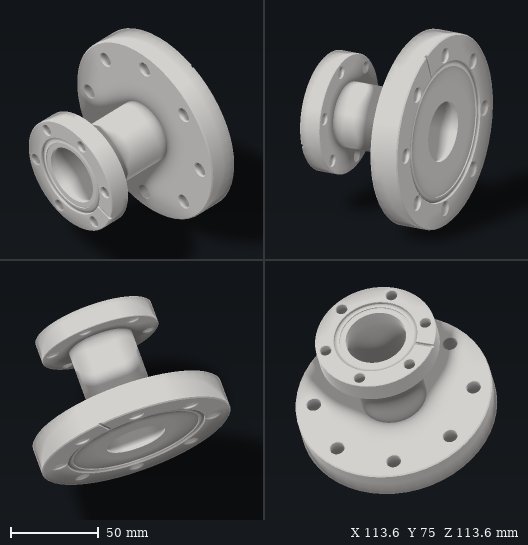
import cadquery as cq
import math

TOTAL_LENGTH = 75.0

FIXED_RADIUS = 56.8
FIXED_THICKNESS = 17.5
FIXED_CHAMFER = 0.7
FIXED_BOLT_COUNT = 8
FIXED_BOLT_CIRCLE_RADIUS = 46.1
FIXED_BOLT_HOLE_RADIUS = 4.2
FIXED_RECESS_RADIUS = 41.2
FIXED_FIRST_HOLE_ANGLE = 0

RING_RADIUS = 35.0
RING_THICKNESS = 12.7
RING_CHAMFER = 0.3
RING_BOLT_COUNT = 6
RING_BOLT_CIRCLE_RADIUS = 29.4
RING_BOLT_HOLE_RADIUS = 3.3
RING_FIRST_HOLE_ANGLE = 11.7

BOLT_HOLE_CHAMFER = 0.3

TUBE_RADIUS = 19.0
BORE_RADIUS = 17.5
INSERT_RADIUS = 24.2
INSERT_LENGTH = 5.7

KNIFE_SLOPE_WIDTH = 3.3
KNIFE_TIP_DEPTH = 0.7
INNER_FACE_DEPTH = 1.4
RECESS_DEPTH = 1.8
RECESS_CHAMFER = 0.2
GROOVE_WIDTH = 1.9
RING_GROOVE_DEPTH = 1.5
FIXED_GROOVE_DEPTH = 1.0

FIXED_FRONT = TOTAL_LENGTH - FIXED_THICKNESS
TUBE_END = FIXED_FRONT + RING_THICKNESS - INSERT_LENGTH


def revolve_about_y(points):
    """Revolve an outline given as (radius, y) points about the Y axis."""
    return cq.Workplane("XY").polyline(points).close().revolve(360, (0, 0, 0), (0, 1, 0))


def polar_xz(radius, angle):
    """Return the offset of a point at an angle from +X towards +Z."""
    return (radius * math.cos(math.radians(angle)), 0, radius * math.sin(math.radians(angle)))


def knife_edge_points(recess_radius, face_y, inward):
    """Outline from the bore to the recess corner; inward is +1 or -1 along Y into the flange."""
    knife_radius = recess_radius - KNIFE_SLOPE_WIDTH
    return [
        (BORE_RADIUS, face_y + inward * INNER_FACE_DEPTH),
        (knife_radius, face_y + inward * INNER_FACE_DEPTH),
        (knife_radius, face_y + inward * KNIFE_TIP_DEPTH),
        (recess_radius, face_y + inward * RECESS_DEPTH),
    ]


def cut_bolt_holes(body, count, circle_radius, hole_radius, first_angle, y_low, y_high):
    """Cut a circle of through holes chamfered at both ends."""
    mouth_radius = hole_radius + BOLT_HOLE_CHAMFER
    cutter = revolve_about_y([
        (0, y_low),
        (mouth_radius, y_low),
        (hole_radius, y_low + BOLT_HOLE_CHAMFER),
        (hole_radius, y_high - BOLT_HOLE_CHAMFER),
        (mouth_radius, y_high),
        (0, y_high),
    ])
    for index in range(count):
        angle = first_angle + index * 360 / count
        body = body.cut(cutter.translate(polar_xz(circle_radius, angle)))
    return body


def cut_leak_groove(body, recess_radius, outer_radius, angle, depth, face_y, inward):
    """Cut a radial groove in a face, from the recess wall to the rim."""
    inner_end = math.sqrt(recess_radius**2 - (GROOVE_WIDTH / 2) ** 2)
    groove = (
        cq.Workplane("XY")
        .box(outer_radius - inner_end, depth, GROOVE_WIDTH)
        .translate(((outer_radius + inner_end) / 2, face_y + inward * depth / 2, 0))
        .rotate((0, 0, 0), (0, 1, 0), -angle)
    )
    return cq.Workplane(body.cut(groove).solids().val())


def make_insert():
    """Sealing insert with the knife edge, butted against the tube end."""
    points = knife_edge_points(INSERT_RADIUS, 0, 1)
    points += [(INSERT_RADIUS, INSERT_LENGTH), (BORE_RADIUS, INSERT_LENGTH)]
    return revolve_about_y(points)


def make_ring():
    """Rotatable bolt ring whose rear lip sits behind the insert."""
    ring = revolve_about_y([
        (INSERT_RADIUS + RECESS_CHAMFER, 0),
        (RING_RADIUS - RING_CHAMFER, 0),
        (RING_RADIUS, RING_CHAMFER),
        (RING_RADIUS, RING_THICKNESS - RING_CHAMFER),
        (RING_RADIUS - RING_CHAMFER, RING_THICKNESS),
        (TUBE_RADIUS, RING_THICKNESS),
        (TUBE_RADIUS, INSERT_LENGTH),
        (INSERT_RADIUS, INSERT_LENGTH),
        (INSERT_RADIUS, RECESS_CHAMFER),
    ])
    ring = cut_bolt_holes(
        ring, RING_BOLT_COUNT, RING_BOLT_CIRCLE_RADIUS, RING_BOLT_HOLE_RADIUS,
        RING_FIRST_HOLE_ANGLE, 0, RING_THICKNESS,
    )
    groove_angle = RING_FIRST_HOLE_ANGLE - 180 / RING_BOLT_COUNT
    return cut_leak_groove(ring, INSERT_RADIUS, RING_RADIUS, groove_angle, RING_GROOVE_DEPTH, 0, 1)


def make_tube():
    """Plain tube between the insert and the fixed flange socket."""
    return revolve_about_y([
        (BORE_RADIUS, INSERT_LENGTH),
        (TUBE_RADIUS, INSERT_LENGTH),
        (TUBE_RADIUS, TUBE_END),
        (BORE_RADIUS, TUBE_END),
    ])


def make_fixed_flange():
    """Large flange with a tube socket in front and the sealing face at the back."""
    points = knife_edge_points(FIXED_RECESS_RADIUS, TOTAL_LENGTH, -1)
    points += [
        (FIXED_RECESS_RADIUS, TOTAL_LENGTH - RECESS_CHAMFER),
        (FIXED_RECESS_RADIUS + RECESS_CHAMFER, TOTAL_LENGTH),
        (FIXED_RADIUS - FIXED_CHAMFER, TOTAL_LENGTH),
        (FIXED_RADIUS, TOTAL_LENGTH - FIXED_CHAMFER),
        (FIXED_RADIUS, FIXED_FRONT + FIXED_CHAMFER),
        (FIXED_RADIUS - FIXED_CHAMFER, FIXED_FRONT),
        (TUBE_RADIUS, FIXED_FRONT),
        (TUBE_RADIUS, TUBE_END),
        (BORE_RADIUS, TUBE_END),
    ]
    flange = cut_bolt_holes(
        revolve_about_y(points), FIXED_BOLT_COUNT, FIXED_BOLT_CIRCLE_RADIUS, FIXED_BOLT_HOLE_RADIUS,
        FIXED_FIRST_HOLE_ANGLE, FIXED_FRONT, TOTAL_LENGTH,
    )
    groove_angle = 90 - 180 / FIXED_BOLT_COUNT
    return cut_leak_groove(
        flange, FIXED_RECESS_RADIUS, FIXED_RADIUS, groove_angle, FIXED_GROOVE_DEPTH, TOTAL_LENGTH, -1,
    )


insert = make_insert()
ring = make_ring()
tube = make_tube()
fixed_flange = make_fixed_flange()

result = cq.Compound.makeCompound([insert.val(), ring.val(), tube.val(), fixed_flange.val()])